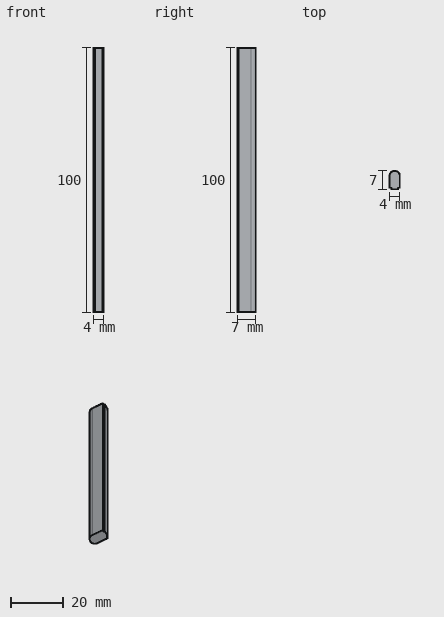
import cadquery as cq

width = 4.0
depth = 7.0
length = 100.0

step_width = 0.75
step_depth = 0.5

half_width = width / 2
front_y = -depth / 2
back_y = depth / 2
round_start_y = back_y - half_width
step_x = half_width - step_width
step_y = front_y + step_depth

profile = (
    cq.Workplane("XY")
    .workplane(offset=-length / 2)
    .moveTo(-step_x, front_y)
    .lineTo(step_x, front_y)
    .lineTo(step_x, step_y)
    .lineTo(half_width, step_y)
    .lineTo(half_width, round_start_y)
    .threePointArc((0, back_y), (-half_width, round_start_y))
    .lineTo(-half_width, step_y)
    .lineTo(-step_x, step_y)
    .close()
)

result = profile.extrude(length)